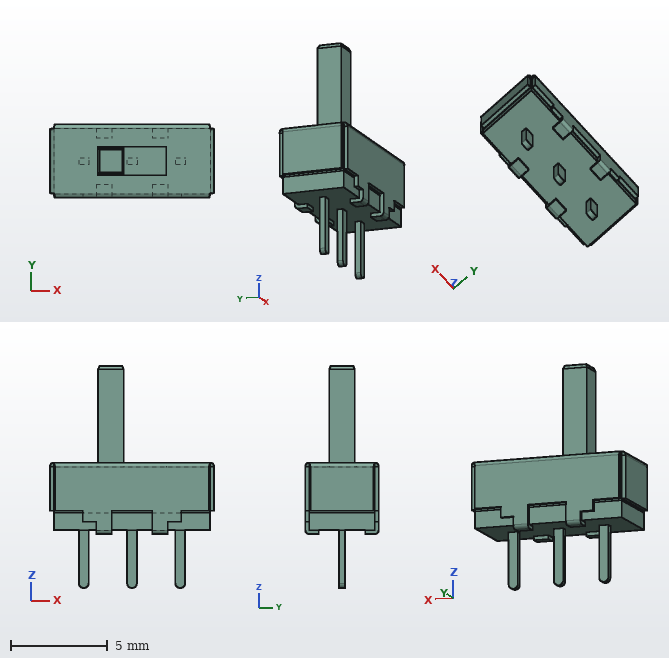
import cadquery as cq


cover_length = 8.5
cover_width = 3.81
cover_top = 3.5
sheet = 0.21
skirt_bottom = 1.0
corner_inset = 0.07
window_length = 3.56
window_width = 1.5

tab_inner = 1.05
hook_outer = 1.85
shoulder_outer = 2.54
shoulder_bottom = 0.44
hook_reach = 0.71

lever_size = 1.33
lever_center = -1.09
lever_height = 5.0
lever_chamfer_height = 0.18
lever_chamfer_inset = 0.08

base_height = 0.9
pin_pitch = 2.5
pin_width = 0.52
pin_thickness = 0.31
pin_length = 3.0

inner_length = cover_length - 2 * sheet
inner_width = cover_width - 2 * sheet
inner_top = cover_top - sheet
lever_top = cover_top + lever_height


def box(length, width, bottom, top, x=0):
    """Upright block centred on the X axis at the given x."""
    return (
        cq.Workplane("XY", origin=(x, 0, bottom))
        .rect(length, width)
        .extrude(top - bottom)
    )


def wall_outline(half_length):
    """Right-hand edge of a wall, tapering through the fold from the top plate to the wall."""
    return [
        (half_length, cover_top),
        (half_length - corner_inset, inner_top),
        (half_length - corner_inset, skirt_bottom),
    ]


def mirrored(points):
    """Close a right-hand edge listed from top to bottom with its mirror image."""
    return points + [(-x, z) for x, z in reversed(points)]


def end_wall():
    """Wall at -X, with the fold that joins it to the top plate."""
    outer = -cover_length / 2
    inner = -inner_length / 2
    strip = (
        cq.Workplane("XZ")
        .moveTo(inner, cover_top)
        .radiusArc((outer, inner_top), -sheet)
        .lineTo(outer, skirt_bottom)
        .lineTo(inner, skirt_bottom)
        .close()
        .extrude(inner_width / 2, both=True)
    )
    outline = (
        cq.Workplane("YZ")
        .polyline(mirrored(wall_outline(inner_width / 2)))
        .close()
        .extrude(-cover_length)
    )
    return strip.intersect(outline)


def long_wall():
    """Wall at -Y, with its top fold and the two tabs hooked under the base."""
    outer = -cover_width / 2
    inner = -inner_width / 2
    hook_tip = outer + hook_reach
    strip = (
        cq.Workplane("YZ")
        .moveTo(inner, cover_top)
        .radiusArc((outer, inner_top), -sheet)
        .lineTo(outer, 0)
        .radiusArc((inner, -sheet), -sheet)
        .lineTo(hook_tip, -sheet)
        .lineTo(hook_tip, 0)
        .lineTo(inner, 0)
        .close()
        .extrude(inner_length / 2, both=True)
    )
    right_edge = wall_outline(inner_length / 2) + [
        (shoulder_outer, skirt_bottom),
        (shoulder_outer, shoulder_bottom),
        (hook_outer, shoulder_bottom),
        (hook_outer, -sheet),
        (tab_inner, -sheet),
        (tab_inner, skirt_bottom),
    ]
    outline = cq.Workplane("XZ").polyline(mirrored(right_edge)).close().extrude(cover_width)
    return strip.intersect(outline)


def make_cover():
    """Top plate with the lever window, and four walls folded down from it."""
    cover = box(inner_length, inner_width, inner_top, cover_top)
    for wall in (end_wall(), long_wall()):
        cover = cover.union(wall)
        cover = cover.union(wall.rotate((0, 0, 0), (0, 0, 1), 180))
    return cover.cut(box(window_length, window_width, inner_top, cover_top))


def make_slider():
    """Block filling the cover, with the square lever standing in the window."""
    block = box(inner_length, inner_width, base_height, inner_top)
    chamfer_bottom = lever_top - lever_chamfer_height
    tip_size = lever_size - 2 * lever_chamfer_inset
    shaft = box(lever_size, lever_size, inner_top, chamfer_bottom, lever_center)
    tip = (
        cq.Workplane("XY", origin=(lever_center, 0, chamfer_bottom))
        .rect(lever_size, lever_size)
        .workplane(offset=lever_chamfer_height)
        .rect(tip_size, tip_size)
        .loft(ruled=True)
    )
    return block.union(shaft).union(tip)


def make_pin(x):
    """Flat terminal pin with a fully rounded end."""
    radius = pin_width / 2
    return (
        cq.Workplane("XZ", origin=(x, 0, 0))
        .moveTo(-radius, 0)
        .lineTo(-radius, radius - pin_length)
        .threePointArc((0, -pin_length), (radius, radius - pin_length))
        .lineTo(radius, 0)
        .close()
        .extrude(pin_thickness / 2, both=True)
    )


def make_base():
    """Base plate with three pins below it."""
    base = box(inner_length, inner_width, 0, base_height)
    for position in (-1, 0, 1):
        base = base.union(make_pin(position * pin_pitch))
    return base


cover = make_cover()
slider = make_slider()
base = make_base()

result = cq.Compound.makeCompound([cover.val(), slider.val(), base.val()])